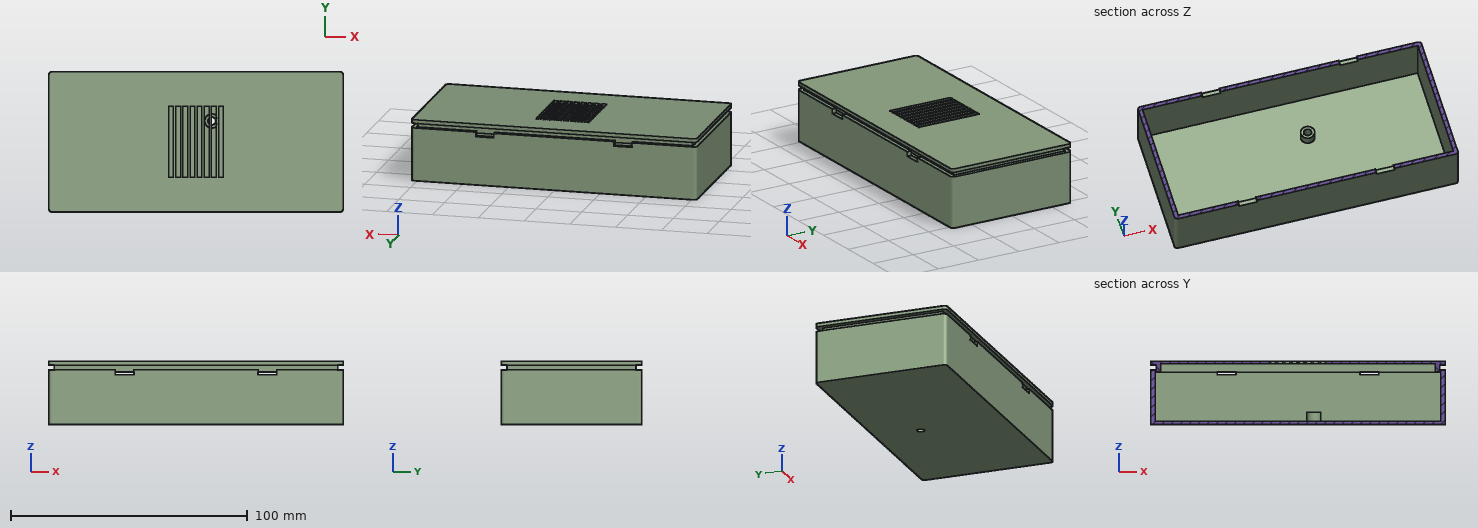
import cadquery as cq

length = 124.6
width = 59.4
height = 26.8
corner_radius = 1.5

box_height = 23.2
wall = 2.0
floor_thickness = 1.5

notch_length = 7.8
notch_depth = 2.0
notch_offset = 30.2

boss_x = 6.7
boss_y = 8.8
boss_diameter = 6.0
boss_hole_diameter = 3.2
boss_height = 3.7

rim_thickness = 1.6
cover_thickness = 1.1
lip_clearance = 0.4
lip_wall = 2.0
lip_depth = 3.0

slot_count = 8
slot_width = 2.0
slot_length = 30.0
grille_length = 23.0
slot_pitch = (grille_length - slot_width) / (slot_count - 1)


def block(size_x, size_y, bottom, top):
    """Rectangular block centred on the Z axis between two heights."""
    return cq.Workplane("XY").workplane(offset=bottom).rect(size_x, size_y).extrude(top - bottom)


def inset_block(inset, bottom, top):
    """Block set back from the outer outline of the case by the same amount all round."""
    return block(length - 2 * inset, width - 2 * inset, bottom, top)


def rounded_block(bottom, top):
    """Block with the full outer outline of the case and rounded upright edges."""
    return inset_block(0, bottom, top).edges("|Z").fillet(corner_radius)


def cut_notches(box):
    """Cut two notches across the top edges of both long walls."""
    for side in (-1, 1):
        notch = block(notch_length, width, box_height - notch_depth, box_height)
        box = box.cut(notch.translate((side * notch_offset, 0, 0)))
    return box


def add_boss(box):
    """Add the screw boss and drill it through the floor."""
    axis = cq.Workplane("XY").center(boss_x, boss_y)
    boss_top = floor_thickness + boss_height
    box = box.union(axis.circle(boss_diameter / 2).extrude(boss_top))
    return box.cut(axis.circle(boss_hole_diameter / 2).extrude(boss_top))


def make_box():
    """Open box with notched long walls and a drilled boss on its floor."""
    box = rounded_block(0, box_height)
    box = box.cut(inset_block(wall, floor_thickness, box_height))
    return add_boss(cut_notches(box))


def cut_grille(lid):
    """Cut the row of ventilation slots through the cover."""
    first_slot_x = -slot_pitch * (slot_count - 1) / 2
    for index in range(slot_count):
        slot = block(slot_width, slot_length, height - cover_thickness, height)
        lid = lid.cut(slot.translate((first_slot_x + index * slot_pitch, 0, 0)))
    return lid


def make_lid():
    """Slotted lid, hollow underneath, with a locating lip that drops into the box."""
    rim_bottom = height - rim_thickness
    lip_bottom = rim_bottom - lip_depth
    lip_inset = wall + lip_clearance

    lid = rounded_block(rim_bottom, height)
    lid = lid.union(inset_block(lip_inset, lip_bottom, rim_bottom))
    lid = lid.cut(inset_block(lip_inset + lip_wall, lip_bottom, height - cover_thickness))
    return cut_grille(lid)


box = make_box()
lid = make_lid()

result = cq.Compound.makeCompound([box.solids().val(), lid.solids().val()])